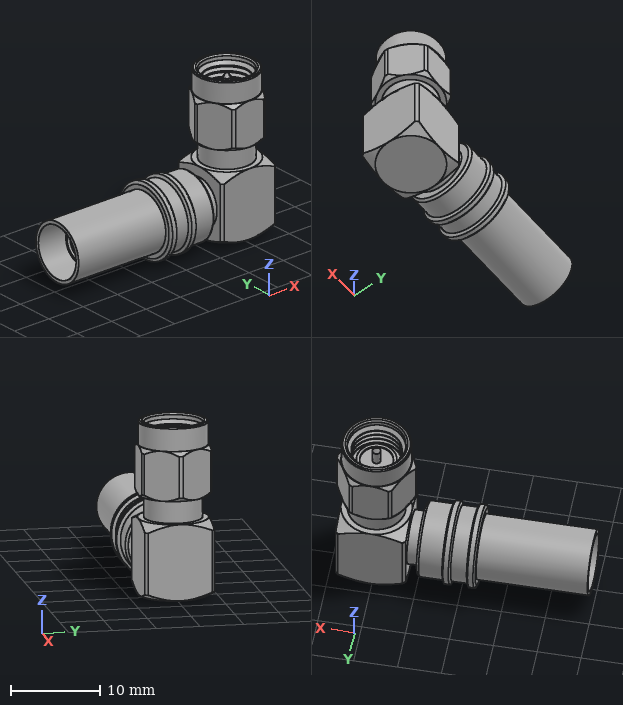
import cadquery as cq
import math


OVERALL_LENGTH = 29.2

BLOCK_WIDTH = 8.0
BLOCK_HEIGHT = 8.8
BLOCK_CORNER_RADIUS = 5.43
BLOCK_CHAMFER_ANGLE = 30.0

NUT_FLATS = BLOCK_WIDTH
NUT_CORNER_RADIUS = 4.5
NUT_CHAMFER_ANGLE = 45.0
NUT_BOTTOM_Z = 7.07
NUT_HEIGHT = 5.75
NUT_TOP_Z = NUT_BOTTOM_Z + NUT_HEIGHT
SLEEVE_RADIUS = 3.95
SLEEVE_TOP_Z = 15.55
SLEEVE_CHAMFER = 0.15
NECK_RADIUS = 3.3

THREAD_ROOT_RADIUS = 3.3
THREAD_CREST_RADIUS = 2.85
THREAD_PITCH = 0.7
THREAD_CREST_WIDTH = 0.12
THREAD_COUNT = 4
MOUTH_CHAMFER = 0.2
ENTRY_DEPTH = 0.7
ENTRY_FLANK_HEIGHT = THREAD_ROOT_RADIUS - THREAD_CREST_RADIUS

CONTACT_RING_RADIUS = 2.28
CONTACT_RING_DEPTH = 2.8
RECESS_RADIUS = 1.9
RECESS_DEPTH = 0.15
PIN_RADIUS = 0.47
PIN_TIP_RADIUS = 0.12
PIN_TIP_DEPTH = 0.67
PIN_TIP_LENGTH = 0.58

TUBE_RADIUS = 3.77
TUBE_BORE_RADIUS = 3.3
BODY_START_X = 12.67
BODY_END_X = 19.42
BODY_RADIUS = 4.35
BODY_CHAMFER = 0.3
RIB_RADIUS = 4.75
RIB_WIDTH = 1.0
RIB_CREST_WIDTH = 0.6
RIB_PITCH = 2.8
RIB_COUNT = 2
BARREL_NECK_RADIUS = 3.1

POST_TIP_X = 3.2
POST_RADIUS = 2.8
POST_TIP_RADIUS = 2.37
POST_TAPER_LENGTH = 0.82
POST_BORE_RADIUS = 2.0
POST_BORE_CHAMFER = 0.18
POST_BORE_CHAMFER_LENGTH = 0.3

NUT_AXIS_X = OVERALL_LENGTH - NUT_CORNER_RADIUS
BORE_FLOOR_X = BODY_START_X


def revolve_about_x(points):
    """Revolve an (x, radius) outline about the barrel axis."""
    return cq.Workplane("XY").polyline(points).close().revolve(360, (0, 0), (1, 0))


def revolve_about_nut_axis(points):
    """Revolve a (radius, z) outline about the nut axis."""
    profile = cq.Workplane("XZ", origin=(NUT_AXIS_X, 0, 0)).polyline(points).close()
    return profile.revolve(360, (0, 0), (0, 1))


def chamfered_envelope(bottom_z, top_z, face_radius, outer_radius, angle):
    """Round bar, coned at both ends, that trims the corners of a prism."""
    drop = (outer_radius - face_radius) * math.tan(math.radians(angle))
    return revolve_about_nut_axis([
        (0, bottom_z),
        (face_radius, bottom_z),
        (outer_radius, bottom_z + drop),
        (outer_radius, top_z - drop),
        (face_radius, top_z),
        (0, top_z),
    ])


def make_block():
    """Square elbow block with chamfered, rounded-off corners."""
    half_height = BLOCK_HEIGHT / 2
    block = cq.Workplane("XY").box(BLOCK_WIDTH, BLOCK_WIDTH, BLOCK_HEIGHT)
    block = block.translate((NUT_AXIS_X, 0, 0))
    envelope = chamfered_envelope(
        -half_height, half_height, BLOCK_WIDTH / 2, BLOCK_CORNER_RADIUS, BLOCK_CHAMFER_ANGLE
    )
    return block.intersect(envelope)


def make_nut():
    """Hexagon of the coupling nut with chamfered, rounded-off corners."""
    across_corners = NUT_FLATS / math.cos(math.radians(30))
    nut = (
        cq.Workplane("XY", origin=(NUT_AXIS_X, 0, NUT_BOTTOM_Z))
        .polygon(6, across_corners)
        .extrude(NUT_HEIGHT)
    )
    envelope = chamfered_envelope(
        NUT_BOTTOM_Z, NUT_TOP_Z, NUT_FLATS / 2, NUT_CORNER_RADIUS, NUT_CHAMFER_ANGLE
    )
    return nut.intersect(envelope)


def make_neck_and_sleeve():
    """Neck rising from the block, and the round sleeve above the hex."""
    return revolve_about_nut_axis([
        (0, 0),
        (NECK_RADIUS, 0),
        (NECK_RADIUS, NUT_BOTTOM_Z),
        (SLEEVE_RADIUS, NUT_BOTTOM_Z),
        (SLEEVE_RADIUS, SLEEVE_TOP_Z - SLEEVE_CHAMFER),
        (SLEEVE_RADIUS - SLEEVE_CHAMFER, SLEEVE_TOP_Z),
        (0, SLEEVE_TOP_Z),
    ])


def make_threaded_bore():
    """Cavity of the sleeve: chamfered mouth, plain entry, then ring-shaped thread crests."""
    flank_height = (THREAD_PITCH - THREAD_CREST_WIDTH) / 2
    first_crest_z = SLEEVE_TOP_Z - ENTRY_DEPTH - ENTRY_FLANK_HEIGHT
    points = [
        (0, SLEEVE_TOP_Z),
        (THREAD_ROOT_RADIUS + MOUTH_CHAMFER, SLEEVE_TOP_Z),
        (THREAD_ROOT_RADIUS, SLEEVE_TOP_Z - MOUTH_CHAMFER),
        (THREAD_ROOT_RADIUS, SLEEVE_TOP_Z - ENTRY_DEPTH),
    ]
    for index in range(THREAD_COUNT):
        crest_top = first_crest_z - index * THREAD_PITCH
        crest_bottom = crest_top - THREAD_CREST_WIDTH
        points.append((THREAD_CREST_RADIUS, crest_top))
        points.append((THREAD_CREST_RADIUS, crest_bottom))
        if index < THREAD_COUNT - 1:
            points.append((THREAD_ROOT_RADIUS, crest_bottom - flank_height))
    points.append((0, crest_bottom))
    return revolve_about_nut_axis(points)


def make_contact():
    """Raised contact ring with a shallow recess, and the pointed pin at its centre."""
    base_z = NUT_BOTTOM_Z
    ring_z = SLEEVE_TOP_Z - CONTACT_RING_DEPTH
    recess_z = ring_z - RECESS_DEPTH
    tip_z = SLEEVE_TOP_Z - PIN_TIP_DEPTH
    return revolve_about_nut_axis([
        (0, base_z),
        (CONTACT_RING_RADIUS, base_z),
        (CONTACT_RING_RADIUS, ring_z),
        (RECESS_RADIUS, ring_z),
        (RECESS_RADIUS, recess_z),
        (PIN_RADIUS, recess_z),
        (PIN_RADIUS, tip_z - PIN_TIP_LENGTH),
        (PIN_TIP_RADIUS, tip_z),
        (0, tip_z),
    ])


def make_barrel():
    """Crimp tube, ribbed body and the neck that enters the block."""
    rib_slope = (RIB_WIDTH - RIB_CREST_WIDTH) / 2
    points = [(0, 0), (0, TUBE_RADIUS), (BODY_START_X, TUBE_RADIUS)]
    for index in range(RIB_COUNT):
        rib_x = BODY_START_X + index * RIB_PITCH
        points += [
            (rib_x, BODY_RADIUS),
            (rib_x + rib_slope, RIB_RADIUS),
            (rib_x + rib_slope + RIB_CREST_WIDTH, RIB_RADIUS),
            (rib_x + RIB_WIDTH, BODY_RADIUS),
        ]
    points += [
        (BODY_END_X - BODY_CHAMFER, BODY_RADIUS),
        (BODY_END_X, BODY_RADIUS - BODY_CHAMFER),
        (BODY_END_X, BARREL_NECK_RADIUS),
        (NUT_AXIS_X, BARREL_NECK_RADIUS),
        (NUT_AXIS_X, 0),
    ]
    return revolve_about_x(points)


def make_barrel_cavity():
    """Bore of the crimp tube, leaving a hollow tapered post standing on its floor."""
    return revolve_about_x([
        (0, 0),
        (0, TUBE_BORE_RADIUS),
        (BORE_FLOOR_X, TUBE_BORE_RADIUS),
        (BORE_FLOOR_X, POST_RADIUS),
        (POST_TIP_X + POST_TAPER_LENGTH, POST_RADIUS),
        (POST_TIP_X, POST_TIP_RADIUS),
        (POST_TIP_X, POST_BORE_RADIUS + POST_BORE_CHAMFER),
        (POST_TIP_X + POST_BORE_CHAMFER_LENGTH, POST_BORE_RADIUS),
        (BORE_FLOOR_X, POST_BORE_RADIUS),
        (BORE_FLOOR_X, 0),
    ])


upper_arm = make_neck_and_sleeve().union(make_nut()).cut(make_threaded_bore())
barrel = make_barrel().cut(make_barrel_cavity())
result = make_block().union(upper_arm).union(make_contact()).union(barrel)